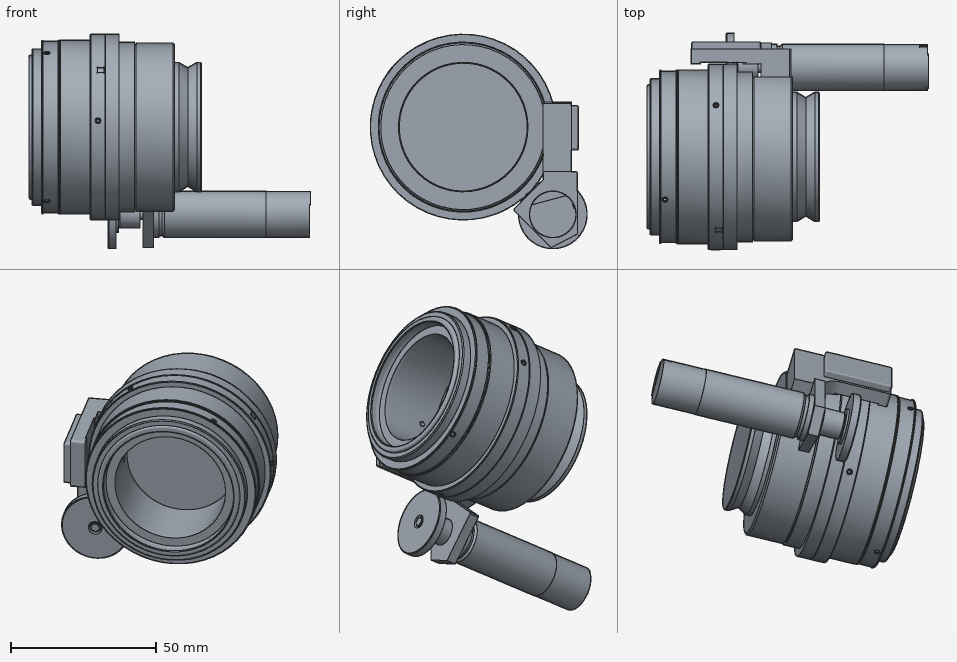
import cadquery as cq
import math


mouth_length = 1.0
mouth_radius = 25.0
mouth_round = 0.8
hood_end = 4.3
hood_radius = 27.0
hood_chamfer = 0.4
front_band_end = 10.0
front_band_radius = 29.6
band_rim_width = 0.6
band_rim_height = 0.3
grip_radius = 30.0
grip_start = 10.6
ring_start = 21.1
ring_end = 31.1
ring_radius = 32.05
ring_chamfer = 0.3
ring_seam = 26.3
ring_seam_width = 0.3
ring_seam_depth = 0.3
shoulder_end = 36.4
shoulder_radius = 29.3
rear_start = 37.0
rear_end = 50.2
rear_radius = 29.0
rear_chamfer = 0.6
rear_groove_depth = 0.6
mount_rim_width = 1.5
mount_radius = 22.3
mount_valley_x = 54.8
mount_valley_radius = 20.5
mount_rim_start = 57.9
mount_end = 59.4
mount_chamfer = 0.3

recess_radius = 22.8
recess_depth = 3.4
recess_chamfer = 0.3
recess_taper_length = 1.1
recess_floor_radius = 22.5
bore_radius = 19.3
bore_depth = 25.4
bore_lead_length = 1.2
bore_lead_height = 0.1
screws_per_ring = 3
screw_step = 360 / screws_per_ring
band_screw_x = 6.2
band_screw_angle = 0.0
ring_screw_x = 23.8
ring_screw_angle = 56.0
screw_diameter = 1.2
screw_depth = 1.9
screw_head_diameter = 1.9
screw_head_depth = 0.4
pin_hole_x = 19.7
pin_hole_angle = 3.0
pin_hole_diameter = 1.8
pin_hole_depth = 1.9
notch_start = 23.7
notch_width = 2.1
notch_relief_diameter = 0.35
notch_depth = 0.2
notch_angle = 142.0

motor_y = 30.9
motor_z = -30.1
pinion_start = 27.3
pinion_thickness = 2.8
pinion_radius = 11.85
collar_end = 30.9
collar_radius = 6.2
hub_end = 38.4
hub_radius = 4.8
hub_chamfer = 0.5
shaft_diameter = 3.4
pinion_chamfer = 0.3
pinion_recess_diameter = 4.8
pinion_recess_floor_diameter = 3.8
pinion_recess_depth = 0.6
shaft_tip_diameter = 3.0
flange_end = 44.8
neck_end = 45.9
neck_radius = 7.4
neck_cone = 0.8
gearbox_end = 81.7
gearbox_radius = 8.1
case_end = 96.8
case_radius = 8.0
cap_end = 97.1
cap_chord_offset = 5.05
cap_chord_angle = 15.0
case_slot_width = 1.6
case_slot_depth = 0.4
case_slot_start = 93.9
case_slot_angle = 21.5

arm_start = 15.2
arm_bottom = -9.1
arm_top = 8.6
arm_inner_y = 32.1
arm_outer_y = 37.3
arm_round = 0.9
relief_start = 18.5
relief_end = 34.1
relief_depth = 0.5
foot_end = 49.7
foot_inner_y = 27.6
foot_bottom = -15.3
foot_chamfer = 0.5
plate_start = 39.3
plate_end = 43.0
plate_outer_y = 39.3
plate_round = 0.6
plate_tip_y = 17.6
plate_tip_top = -28.2
plate_tip_bottom = -28.8
plate_heel_y = 30.3
plate_side_bottom = -36.9
cover_start = 15.4
cover_end = 39.2
cover_bottom = -8.0
cover_top = 7.4
cover_outer_y = 39.7
cover_corner_round = 0.9
cover_edge_round = 0.6


def turned(outline):
    """Revolve an (x, radius) outline, closed along the X axis, about X."""
    return (
        cq.Workplane("XY")
        .moveTo(outline[0][0], 0)
        .polyline([(outline[0][0], 0)] + outline + [(outline[-1][0], 0)])
        .close()
        .revolve(360, (0, 0, 0), (1, 0, 0))
    )


def disc(start, end, radius, y=0.0, z=0.0):
    """Cylinder along X between two stations."""
    return cq.Workplane("YZ", origin=(start, y, z)).circle(radius).extrude(end - start)


def block(x0, x1, y0, y1, z0, z1):
    """Box between opposite corners."""
    return cq.Workplane("XY").box(x1 - x0, y1 - y0, z1 - z0, centered=False).translate((x0, y0, z0))


def radial_hole(x, angle, diameter, inner_radius, outer_radius):
    """Cylinder along +Y, turned about the X axis by angle."""
    pin = cq.Workplane("XZ", origin=(x, outer_radius, 0)).circle(diameter / 2)
    return pin.extrude(outer_radius - inner_radius).rotate((0, 0, 0), (1, 0, 0), angle)


def lens_barrel():
    rim_radius = front_band_radius + band_rim_height
    seam_left = ring_seam - ring_seam_width / 2
    seam_right = ring_seam + ring_seam_width / 2
    groove_radius = rear_radius - rear_groove_depth
    barrel = turned([
        (0, mouth_radius),
        (mouth_length, mouth_radius),
        (mouth_length, hood_radius - hood_chamfer),
        (mouth_length + hood_chamfer, hood_radius),
        (hood_end, hood_radius),
        (hood_end, front_band_radius),
        (hood_end + band_rim_height, rim_radius),
        (hood_end + band_rim_width, rim_radius),
        (hood_end + band_rim_width, front_band_radius),
        (front_band_end, front_band_radius),
        (front_band_end, grip_radius - band_rim_height),
        (front_band_end + band_rim_height, grip_radius),
        (grip_start, grip_radius - band_rim_height),
        (grip_start + band_rim_height, grip_radius),
        (ring_start, grip_radius),
        (ring_start, ring_radius - ring_chamfer),
        (ring_start + ring_chamfer, ring_radius),
        (seam_left, ring_radius),
        (ring_seam, ring_radius - ring_seam_depth),
        (seam_right, ring_radius),
        (ring_end, ring_radius),
        (ring_end, shoulder_radius),
        (shoulder_end, shoulder_radius),
        (shoulder_end, groove_radius),
        (rear_start, groove_radius),
        (rear_start, rear_radius),
        (rear_end - rear_chamfer, rear_radius),
        (rear_end, rear_radius - rear_chamfer),
        (rear_end, mount_radius),
        (rear_end + mount_rim_width, mount_radius),
        (mount_valley_x, mount_valley_radius),
        (mount_rim_start, mount_radius),
        (mount_end - mount_chamfer, mount_radius),
        (mount_end, mount_radius - mount_chamfer),
    ])
    return barrel.faces("<X").edges().fillet(mouth_round)


def lens_bore():
    """Stepped blind bore with a chamfered mouth, a tapered recess foot and a lead-in."""
    return turned([
        (0, recess_radius + recess_chamfer),
        (recess_chamfer, recess_radius),
        (recess_depth - recess_taper_length, recess_radius),
        (recess_depth, recess_floor_radius),
        (recess_depth, bore_radius + bore_lead_height),
        (recess_depth + bore_lead_length, bore_radius),
        (bore_depth, bore_radius),
    ])


def bore_pin_hole():
    """Blind hole from the bore into its wall."""
    return radial_hole(pin_hole_x, pin_hole_angle, pin_hole_diameter, 0, bore_radius + pin_hole_depth)


def screw_hole(x, angle, surface_radius):
    """Blind hole into a cylinder of surface_radius, counterbored for the screw head."""
    outside = surface_radius + screw_head_diameter
    hole = radial_hole(x, angle, screw_diameter, surface_radius - screw_depth, outside)
    head = radial_hole(x, angle, screw_head_diameter, surface_radius - screw_head_depth, outside)
    return hole.union(head)


def ring_notch():
    """Shallow square index notch with round reliefs at its corners."""
    half = notch_width / 2
    floor = ring_radius - notch_depth
    outside = ring_radius + notch_width
    notch = block(notch_start, notch_start + notch_width, floor, outside, -half, half)
    for x in (notch_start, notch_start + notch_width):
        for z in (-half, half):
            relief = radial_hole(x, 0, notch_relief_diameter, floor, outside)
            notch = notch.union(relief.translate((0, 0, z)))
    return notch.rotate((0, 0, 0), (1, 0, 0), notch_angle)


def bracket_seat():
    """Material beyond the flat on the +Y side of the rear cylinder."""
    return block(shoulder_end, rear_end, foot_inner_y, ring_radius, -rear_radius, rear_radius)


def make_lens():
    lens = lens_barrel().cut(lens_bore()).cut(bore_pin_hole()).cut(ring_notch()).cut(bracket_seat())
    for i in range(screws_per_ring):
        step = i * screw_step
        lens = lens.cut(screw_hole(band_screw_x, band_screw_angle + step, front_band_radius))
        lens = lens.cut(screw_hole(ring_screw_x, ring_screw_angle + step, ring_radius))
    return lens


def motor_cap():
    """Thin segment on the end of the motor case, bounded by a tilted chord."""
    keep = block(case_end, cap_end, -case_radius, case_radius, cap_chord_offset, case_radius)
    keep = keep.rotate((0, 0, 0), (1, 0, 0), cap_chord_angle)
    return disc(case_end, cap_end, case_radius).intersect(keep)


def case_slot():
    """Shallow lengthwise slot that is open at the end of the case."""
    half = case_slot_width / 2
    floor = case_radius - case_slot_depth
    slot = block(case_slot_start, case_end, floor, gearbox_radius, -half, half)
    return slot.rotate((0, 0, 0), (1, 0, 0), case_slot_angle)


def make_motor():
    pinion_end = pinion_start + pinion_thickness
    shaft_radius = shaft_diameter / 2
    motor = turned([
        (pinion_start, pinion_radius - pinion_chamfer),
        (pinion_start + pinion_chamfer, pinion_radius),
        (pinion_end, pinion_radius),
        (pinion_end, collar_radius),
        (collar_end, collar_radius),
        (collar_end, hub_radius - hub_chamfer),
        (collar_end + hub_chamfer, hub_radius),
        (hub_end, hub_radius),
        (hub_end, shaft_radius),
        (plate_end, shaft_radius),
        (plate_end, gearbox_radius),
        (flange_end, gearbox_radius),
        (flange_end, neck_radius),
        (neck_end, neck_radius),
        (neck_end + neck_cone, gearbox_radius),
        (gearbox_end, gearbox_radius),
        (gearbox_end, case_radius),
        (case_end, case_radius),
    ])
    recess_end = pinion_start + pinion_recess_depth
    recess = turned([
        (pinion_start, pinion_recess_diameter / 2),
        (recess_end, pinion_recess_floor_diameter / 2),
    ])
    shaft_tip = disc(pinion_start, recess_end, shaft_tip_diameter / 2)
    motor = motor.cut(recess.cut(shaft_tip)).cut(case_slot()).union(motor_cap())
    motor = motor.translate((0, motor_y, motor_z))
    return motor.cut(disc(ring_start, ring_end, ring_radius))


def bracket_arm():
    """Arm with a rounded front end and a large web round down to the plate."""
    web_round = arm_bottom - foot_bottom
    web_x = plate_start - web_round
    bend = web_round * math.sqrt(0.5)
    arm = (
        cq.Workplane("XZ", origin=(0, arm_outer_y, 0))
        .moveTo(arm_start, arm_top)
        .lineTo(foot_end, arm_top)
        .lineTo(foot_end, foot_bottom)
        .lineTo(plate_start, foot_bottom)
        .threePointArc((web_x + bend, foot_bottom + bend), (web_x, arm_bottom))
        .lineTo(arm_start, arm_bottom)
        .close()
        .extrude(arm_outer_y - arm_inner_y)
    )
    arm = arm.edges("|Y and <X").fillet(arm_round)
    relief = block(relief_start, relief_end, arm_inner_y, arm_inner_y + relief_depth, arm_bottom, arm_top)
    return arm.cut(relief)


def bracket_foot():
    """Block that reaches in to the lens and seats on its flat."""
    return block(plate_start, foot_end, foot_inner_y, arm_outer_y, foot_bottom, arm_top)


def motor_plate():
    """Plate on the motor flange; its inner side runs at 45 degrees, past the lens."""
    neck_z = plate_tip_top + foot_inner_y - plate_tip_y
    heel_z = plate_tip_bottom - (plate_heel_y - plate_tip_y)
    plate = (
        cq.Workplane("YZ", origin=(plate_start, 0, 0))
        .polyline([
            (plate_outer_y, foot_bottom),
            (foot_inner_y, foot_bottom),
            (foot_inner_y, neck_z),
            (plate_tip_y, plate_tip_top),
            (plate_tip_y, plate_tip_bottom),
            (plate_heel_y, heel_z),
            (plate_outer_y, plate_side_bottom),
        ])
        .close()
        .extrude(plate_end - plate_start)
    )
    plate = plate.edges("|X and >Z and >Y").fillet(plate_round)
    return plate.cut(disc(plate_start, plate_end, shaft_diameter / 2, motor_y, motor_z))


def bracket_cover():
    cover = block(cover_start, cover_end, arm_outer_y, cover_outer_y, cover_bottom, cover_top)
    return cover.edges("|Y").fillet(cover_corner_round).faces(">Y").edges().fillet(cover_edge_round)


def make_bracket():
    body = bracket_arm().union(bracket_foot())
    body = body.edges("|Y and >X and >Z").chamfer(foot_chamfer)
    return body.union(motor_plate()).union(bracket_cover())


lens = make_lens()
motor = make_motor()
bracket = make_bracket()

result = cq.Compound.makeCompound([lens.val(), motor.val(), bracket.val()])